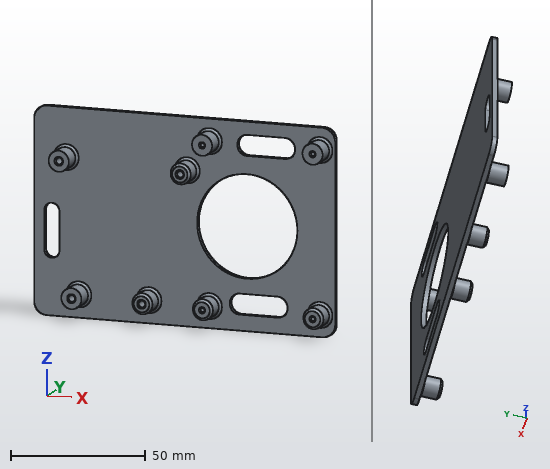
import cadquery as cq

plate_length = 120.0
plate_height = 80.0
plate_thickness = 2.0
corner_radius = 5.0

window_diameter = 40.0
window_x = 25.0

total_depth = 10.0
standoff_height = total_depth - plate_thickness
standoff_diameter = 8.0
standoff_radius = standoff_diameter / 2
root_flare = 1.0
tip_chamfer = 1.0
hole_countersink = 0.5
hole_depth = 6.0
large_hole_diameter = 2.5
small_hole_diameter = 1.5

group_pitch_x = 44.0
group_pitch_z = 63.0
group_left_x = 10.0
group_right_x = group_left_x + group_pitch_x
group_z = group_pitch_z / 2

board_upper_pitch_x = 48.2
board_lower_pitch_x = 28.0
board_right_drop = 1.3
board_lower_shift_x = 5.0
board_pitch_z = 50.8
board_upper_left_x = -47.2
board_upper_left_z = 21.0
board_upper_right_x = board_upper_left_x + board_upper_pitch_x
board_upper_right_z = board_upper_left_z - board_right_drop
board_lower_z = board_upper_right_z - board_pitch_z
board_lower_left_x = board_upper_left_x + board_lower_shift_x
board_lower_right_x = board_lower_left_x + board_lower_pitch_x

standoffs = [
    (group_left_x, group_z, small_hole_diameter, False),
    (group_right_x, group_z, small_hole_diameter, False),
    (group_left_x, -group_z, small_hole_diameter, True),
    (group_right_x, -group_z, small_hole_diameter, True),
    (board_upper_left_x, board_upper_left_z, large_hole_diameter, False),
    (board_upper_right_x, board_upper_right_z, large_hole_diameter, True),
    (board_lower_left_x, board_lower_z, large_hole_diameter, False),
    (board_lower_right_x, board_lower_z, large_hole_diameter, True),
]

wide_slot = (23.0, 8.0, 0)
narrow_slot = (21.0, 6.0, 90)
slots = [
    (32.5, 31.0, *wide_slot),
    (29.5, -29.9, *wide_slot),
    (-52.9, -7.5, *narrow_slot),
]


def make_plate():
    """Rounded plate with its front face on Y = 0, cut by the window and slots."""
    plate = (
        cq.Workplane("XZ")
        .rect(plate_length, plate_height)
        .extrude(-plate_thickness)
        .edges("|Y")
        .fillet(corner_radius)
    )
    window = cq.Workplane("XZ").center(window_x, 0).circle(window_diameter / 2).extrude(-plate_thickness)
    plate = plate.cut(window)
    for x, z, length, width, angle in slots:
        slot = cq.Workplane("XZ").center(x, z).slot2D(length, width, angle).extrude(-plate_thickness)
        plate = plate.cut(slot)
    return plate


def make_standoff(x, z, hole_diameter, chamfered):
    """Flared post with a countersunk blind hole, revolved about its own axis."""
    hole_radius = hole_diameter / 2
    tip_y = -standoff_height
    embedded_y = plate_thickness / 2
    flare_radius = standoff_radius + root_flare
    tip_inset = tip_chamfer if chamfered else 0
    profile = cq.Workplane("XY").moveTo(0, embedded_y)
    profile = profile.lineTo(flare_radius, embedded_y)
    profile = profile.lineTo(flare_radius, 0)
    profile = profile.lineTo(standoff_radius, -root_flare)
    profile = profile.lineTo(standoff_radius, tip_y + tip_inset)
    if chamfered:
        profile = profile.lineTo(standoff_radius - tip_chamfer, tip_y)
    profile = (
        profile.lineTo(hole_radius + hole_countersink, tip_y)
        .lineTo(hole_radius, tip_y + hole_countersink)
        .lineTo(hole_radius, tip_y + hole_depth)
        .lineTo(0, tip_y + hole_depth)
        .close()
    )
    return profile.revolve(360, (0, 0, 0), (0, 1, 0)).translate((x, 0, z))


result = make_plate()
for standoff in standoffs:
    result = result.union(make_standoff(*standoff))